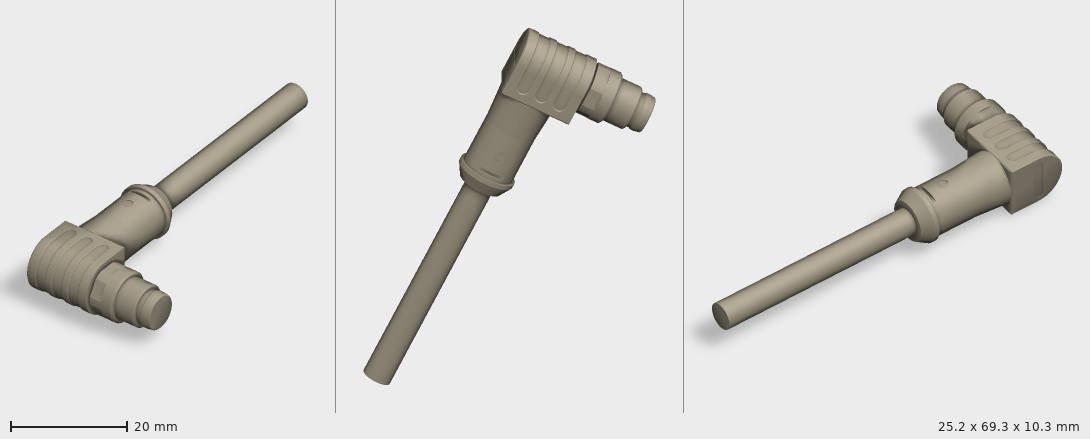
import cadquery as cq
import math


BLOCK_DIAMETER = 10.3
BLOCK_RADIUS = BLOCK_DIAMETER / 2
BLOCK_LEFT = -BLOCK_RADIUS
BLOCK_WIDTH = 12.95
BLOCK_BACK = 5.85
BLOCK_CHAMFER = 0.2
NOSE_FLAT = 0.2

GRIP_COUNT = 3
GRIP_PITCH = 3.5
GRIP_FIRST_X = -2.15
GRIP_WIDTH = 2.35
GRIP_BACK = 4.4
GRIP_DEPTH = 0.2
GRIP_BEVEL = 0.15

PANEL_LENGTH = 8.2
PANEL_WIDTH = 1.75
PANEL_CORNER_RADIUS = 0.6
PANEL_DEPTH = 0.1

SLEEVE_DIAMETER = 9.3
FLARE_ROOT_DIAMETER = 10.2
FLARE_END = 12.3
COLLAR_DIAMETER = BLOCK_DIAMETER
COLLAR_START = 21.2
COLLAR_TAPER_START = 22.05
COLLAR_END = 24.2
COLLAR_END_DIAMETER = 7.8
CABLE_DIAMETER = 5.1
CABLE_END = 64.15

NOTCH_CENTER_Y = 20.15
NOTCH_WIDTH = 0.65
NOTCH_FLOOR_SPACING = 8.0
DIMPLE_CENTER_Y = 16.7
DIMPLE_DIAMETER = 2.0
DIMPLE_DEPTH = 0.2

PLUG_NECK_DIAMETER = 6.5
NUT_START = 8.3
NUT_END = 13.05
NUT_DIAMETER = 9.6
NUT_CHAMFER = 0.35
NUT_FLAT_COUNT = 6
NUT_FLAT_LENGTH = 2.35
NUT_ACROSS_FLATS = 9.0
BARREL_DIAMETER = 8.0
BARREL_END = 17.2
BARREL_CHAMFER = 0.25
RING_DIAMETER = 6.9
RING_START = 18.0
RING_LEAD_LENGTH = 0.25
RING_TAPER_START = 18.95
PLUG_END = 20.05
PLUG_END_DIAMETER = 6.6
PLUG_END_CHAMFER = 0.15


def make_block():
    """Block with a half-round nose, flattened to a narrow strip at its foremost line."""
    radius = BLOCK_RADIUS
    half_flat = NOSE_FLAT / 2
    nose_y = -math.sqrt(radius**2 - half_flat**2)
    arc_middle = radius * math.sqrt(0.5)
    return (
        cq.Workplane("YZ", origin=(BLOCK_LEFT, 0, 0))
        .moveTo(BLOCK_BACK, radius)
        .lineTo(0, radius)
        .threePointArc((-arc_middle, arc_middle), (nose_y, half_flat))
        .lineTo(nose_y, -half_flat)
        .threePointArc((-arc_middle, -arc_middle), (0, -radius))
        .lineTo(BLOCK_BACK, -radius)
        .close()
        .extrude(BLOCK_WIDTH)
        .faces("<X or >Y")
        .edges()
        .chamfer(BLOCK_CHAMFER)
    )


def grip_strip(center_x, width, back):
    """Round-ended strip through the full height of the block."""
    end_radius = width / 2
    straight_end = back - end_radius
    return (
        cq.Workplane("XY", origin=(center_x, 0, -BLOCK_DIAMETER))
        .moveTo(-end_radius, straight_end)
        .threePointArc((0, back), (end_radius, straight_end))
        .lineTo(end_radius, -BLOCK_DIAMETER)
        .lineTo(-end_radius, -BLOCK_DIAMETER)
        .close()
        .extrude(2 * BLOCK_DIAMETER)
    )


def grip_core():
    """Rounded body that remains under the grip recesses."""
    core_diameter = BLOCK_DIAMETER - 2 * GRIP_DEPTH
    nose = cq.Workplane("YZ", origin=(BLOCK_LEFT, 0, 0)).circle(core_diameter / 2).extrude(BLOCK_WIDTH)
    straight = cq.Workplane("XY").box(BLOCK_WIDTH, BLOCK_BACK, core_diameter, centered=(False, False, True))
    return nose.union(straight.translate((BLOCK_LEFT, 0, 0)))


def is_grip_rim(edge, center_x):
    """True for an edge of one grip recess that lies on the outer surface of the block."""
    bounds = edge.BoundingBox()
    middle = edge.positionAt(0.5)
    surface_radius = math.hypot(min(middle.y, 0), middle.z)
    within_grip = abs(bounds.center.x - center_x) < GRIP_WIDTH / 2 and bounds.xlen < GRIP_WIDTH
    return within_grip and surface_radius > BLOCK_RADIUS - GRIP_DEPTH / 4


def cut_grip(body, center_x):
    """Cut one grip recess around the nose and bevel its rim."""
    strip = grip_strip(center_x, GRIP_WIDTH - 2 * GRIP_BEVEL, GRIP_BACK - GRIP_BEVEL)
    recessed = body.cut(strip.cut(grip_core()))
    rim = [edge for edge in recessed.edges().vals() if is_grip_rim(edge, center_x)]
    return recessed.newObject(rim).chamfer(GRIP_BEVEL)


def make_panel():
    return (
        cq.Workplane("YZ", origin=(BLOCK_LEFT, 0, 0))
        .rect(PANEL_WIDTH, PANEL_LENGTH)
        .extrude(PANEL_DEPTH)
        .edges("|X")
        .fillet(PANEL_CORNER_RADIUS)
    )


def make_cable_outlet():
    """Revolved about Y from inside the block to the free cable end."""
    sleeve_radius = SLEEVE_DIAMETER / 2
    root_radius = FLARE_ROOT_DIAMETER / 2
    return (
        cq.Workplane("XY")
        .lineTo(sleeve_radius, 0)
        .lineTo(sleeve_radius, BLOCK_BACK)
        .lineTo(root_radius, BLOCK_BACK)
        .lineTo(sleeve_radius, FLARE_END)
        .lineTo(sleeve_radius, COLLAR_START)
        .lineTo(COLLAR_DIAMETER / 2, COLLAR_START)
        .lineTo(COLLAR_DIAMETER / 2, COLLAR_TAPER_START)
        .lineTo(COLLAR_END_DIAMETER / 2, COLLAR_END)
        .lineTo(CABLE_DIAMETER / 2, COLLAR_END)
        .lineTo(CABLE_DIAMETER / 2, CABLE_END)
        .lineTo(0, CABLE_END)
        .close()
        .revolve(360, (0, 0, 0), (0, 1, 0))
    )


def make_notch(side):
    floor_height = NOTCH_FLOOR_SPACING / 2
    return (
        cq.Workplane("XY", origin=(0, NOTCH_CENTER_Y, side * floor_height))
        .rect(SLEEVE_DIAMETER, NOTCH_WIDTH)
        .extrude(side * floor_height)
    )


def make_dimple(side):
    floor_height = SLEEVE_DIAMETER / 2 - DIMPLE_DEPTH
    return (
        cq.Workplane("XY", origin=(0, DIMPLE_CENTER_Y, side * floor_height))
        .circle(DIMPLE_DIAMETER / 2)
        .extrude(side * DIMPLE_DIAMETER)
    )


def plug_cylinder(diameter, start, end):
    return cq.Workplane("YZ", origin=(start, 0, 0)).circle(diameter / 2).extrude(end - start)


def make_nut():
    """Round nut with wrench flats on the end facing the block."""
    nut = plug_cylinder(NUT_DIAMETER, NUT_START, NUT_END).faces(">X").chamfer(NUT_CHAMFER)
    corner_diameter = NUT_ACROSS_FLATS / math.cos(math.pi / NUT_FLAT_COUNT)
    hexagon = (
        cq.Workplane("YZ", origin=(NUT_START, 0, 0))
        .polygon(NUT_FLAT_COUNT, corner_diameter)
        .extrude(NUT_FLAT_LENGTH)
    )
    outside_hexagon = plug_cylinder(2 * NUT_DIAMETER, NUT_START, NUT_START + NUT_FLAT_LENGTH).cut(hexagon)
    return nut.cut(outside_hexagon)


def make_plug_tip():
    """Neck and snap ring, revolved about X."""
    neck_radius = PLUG_NECK_DIAMETER / 2
    ring_radius = RING_DIAMETER / 2
    end_radius = PLUG_END_DIAMETER / 2
    return (
        cq.Workplane("XY")
        .lineTo(0, neck_radius)
        .lineTo(RING_START, neck_radius)
        .lineTo(RING_START + RING_LEAD_LENGTH, ring_radius)
        .lineTo(RING_TAPER_START, ring_radius)
        .lineTo(PLUG_END - PLUG_END_CHAMFER, end_radius)
        .lineTo(PLUG_END, end_radius - PLUG_END_CHAMFER)
        .lineTo(PLUG_END, 0)
        .close()
        .revolve(360, (0, 0, 0), (1, 0, 0))
    )


def make_plug():
    barrel = plug_cylinder(BARREL_DIAMETER, NUT_START, BARREL_END).faces(">X").chamfer(BARREL_CHAMFER)
    return make_plug_tip().union(barrel).union(make_nut())


block = make_block().cut(make_panel())
for grip_index in range(GRIP_COUNT):
    block = cut_grip(block, GRIP_FIRST_X + grip_index * GRIP_PITCH)

cable_outlet = make_cable_outlet()
for outlet_side in (-1, 1):
    cable_outlet = cable_outlet.cut(make_notch(outlet_side)).cut(make_dimple(outlet_side))

result = block.union(cable_outlet).union(make_plug())